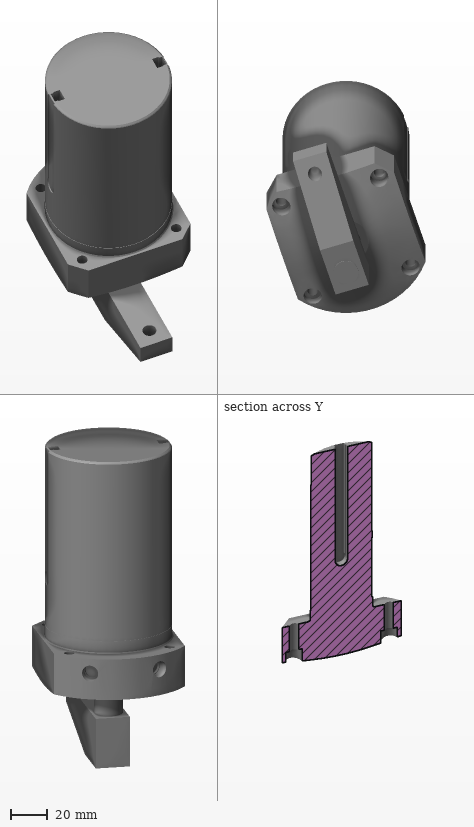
import cadquery as cq


tube_radius = 34.6
tube_height = 108.5
collar_radius = 34.8
collar_height = 7.0
base_bevel = 0.6
top_face_radius = 33.4
top_bevel_radius = 34.3
top_bevel_depth = 0.7
top_edge_depth = 1.1

flange_radius = 46.0
flange_half_width = 36.5
flange_corner_cut = 8.5
flange_rim_depth = 23.0
nose_depth = 30.5
nose_radius = 12.5

mount_hole_offset = 28.0
mount_hole_diameter = 5.8
counterbore_diameter = 10.0
counterbore_ceiling_z = -17.0

port_diameter = 9.0
port_bottom_radius = 40.0
port_core_diameter = 8.4
port_core_bottom_radius = 38.4
port_z = -8.3
port_angle = 25.0

channel_floor_y = 27.5
channel_step_y = 31.3
channel_outer_y = 33.2
channel_wide_width = 7.0
channel_neck_width = 5.8
channel_end_z = 35.3
groove_floor_radius = 34.0
groove_width = 7.6
groove_end_diameter = 8.8

arm_width = 19.0
arm_back_x = -11.0
arm_tip_x = 64.8
arm_height = 28.2
arm_tip_height = 11.7
arm_flat_end_x = 16.7
arm_hole_x = 55.3
arm_hole_diameter = 7.6

rod_diameter = 16.0
rod_tip_diameter = 13.5
rod_end_z = -72.1
rod_overhang = 0.4
rod_taper_gap = 0.5

arm_bottom_z = rod_end_z + rod_overhang
arm_top_z = arm_bottom_z + arm_height
rod_taper_z = arm_top_z + rod_taper_gap

mount_hole_points = [
    (side_x * mount_hole_offset, side_y * mount_hole_offset)
    for side_x in (-1, 1)
    for side_y in (-1, 1)
]


def make_flange():
    """Round flange on a conical nose, cut flat on three sides, with two bevelled corners."""
    turned = (
        cq.Workplane("XZ")
        .lineTo(0, -nose_depth)
        .lineTo(nose_radius, -nose_depth)
        .lineTo(flange_radius, -flange_rim_depth)
        .lineTo(flange_radius, 0)
        .close()
        .revolve(360, (0, 0, 0), (0, 1, 0))
    )
    trim = (
        cq.Workplane("XY")
        .center((flange_half_width - flange_radius) / 2, 0)
        .rect(flange_radius + flange_half_width, 2 * flange_half_width)
        .extrude(-nose_depth)
        .edges("|Z and >X")
        .chamfer(flange_corner_cut)
    )
    return turned.intersect(trim)


def make_tube():
    """Tube with a rounded-off top edge, on a low collar that is bevelled out to the flange."""
    return (
        cq.Workplane("XZ")
        .lineTo(collar_radius + base_bevel, 0)
        .lineTo(collar_radius, base_bevel)
        .lineTo(collar_radius, collar_height)
        .lineTo(tube_radius, collar_height)
        .lineTo(tube_radius, tube_height - top_edge_depth)
        .lineTo(top_bevel_radius, tube_height - top_bevel_depth)
        .lineTo(top_face_radius, tube_height)
        .lineTo(0, tube_height)
        .close()
        .revolve(360, (0, 0, 0), (0, 1, 0))
    )


def make_rod(start_z):
    """Rod from start_z down to its end, straight at first and then tapered."""
    return (
        cq.Workplane("XZ")
        .moveTo(0, start_z)
        .lineTo(rod_diameter / 2, start_z)
        .lineTo(rod_diameter / 2, rod_taper_z)
        .lineTo(rod_tip_diameter / 2, rod_end_z)
        .lineTo(0, rod_end_z)
        .close()
        .revolve(360, (0, 0, 0), (0, 1, 0))
    )


def make_mount_holes():
    """Four through holes with counterbores open to the underside."""
    holes = (
        cq.Workplane("XY")
        .pushPoints(mount_hole_points)
        .circle(mount_hole_diameter / 2)
        .extrude(-nose_depth)
    )
    counterbores = (
        cq.Workplane("XY", origin=(0, 0, counterbore_ceiling_z))
        .pushPoints(mount_hole_points)
        .circle(counterbore_diameter / 2)
        .extrude(-nose_depth - counterbore_ceiling_z)
    )
    return holes.union(counterbores)


def make_port(angle):
    """Stepped blind hole drilled radially into the flange at the given angle about Z."""
    bore = (
        cq.Workplane("YZ", origin=(port_bottom_radius, 0, port_z))
        .circle(port_diameter / 2)
        .extrude(flange_radius - port_bottom_radius)
    )
    core = (
        cq.Workplane("YZ", origin=(port_core_bottom_radius, 0, port_z))
        .circle(port_core_diameter / 2)
        .extrude(port_bottom_radius - port_core_bottom_radius)
    )
    return bore.union(core).rotate((0, 0, 0), (0, 0, 1), angle)


def slot_prism(width, end_diameter, inner_y, outer_y):
    """Upright slot on the -Y side, from a round end up to the tube top, between two depths."""
    length = tube_height - channel_end_z
    base = cq.Workplane("XZ", origin=(0, -inner_y, channel_end_z))
    straight = base.center(0, length / 2).rect(width, length).extrude(outer_y - inner_y)
    round_end = base.circle(end_diameter / 2).extrude(outer_y - inner_y)
    return straight.union(round_end)


def make_channel():
    """T-shaped channel, open at the tube top and closed by a thin web on the outside."""
    wide = slot_prism(channel_wide_width, channel_wide_width, channel_floor_y, channel_step_y)
    neck = slot_prism(channel_neck_width, channel_wide_width, channel_step_y, channel_outer_y)
    return wide.union(neck)


def make_groove():
    """Shallow keyhole-shaped groove on the -Y side of the tube, with a cylindrical floor."""
    core = cq.Workplane("XY").circle(groove_floor_radius).extrude(tube_height)
    return slot_prism(groove_width, groove_end_diameter, channel_outer_y, tube_radius).cut(core)


def make_cylinder():
    body = make_flange().union(make_tube()).union(make_rod(-nose_depth))
    body = body.cut(make_mount_holes())
    for side in (-1, 1):
        body = body.cut(make_port(180 + side * port_angle))
    for cutter in (make_channel(), make_groove()):
        body = body.cut(cutter).cut(cutter.mirror("XZ"))
    return body


def make_arm():
    """Arm with a sloping underside, a tapered bore for the rod and a hole near its tip."""
    blank = (
        cq.Workplane("XZ", origin=(0, arm_width / 2, 0))
        .polyline([
            (arm_back_x, arm_top_z),
            (arm_back_x, arm_bottom_z),
            (arm_flat_end_x, arm_bottom_z),
            (arm_tip_x, arm_top_z - arm_tip_height),
            (arm_tip_x, arm_top_z),
        ])
        .close()
        .extrude(arm_width)
    )
    tip_hole = (
        cq.Workplane("XY", origin=(arm_hole_x, 0, arm_bottom_z))
        .circle(arm_hole_diameter / 2)
        .extrude(arm_height)
    )
    return blank.cut(tip_hole).cut(make_rod(-nose_depth))


cylinder = make_cylinder()
arm = make_arm()

result = cq.Compound.makeCompound([cylinder.val(), arm.val()])